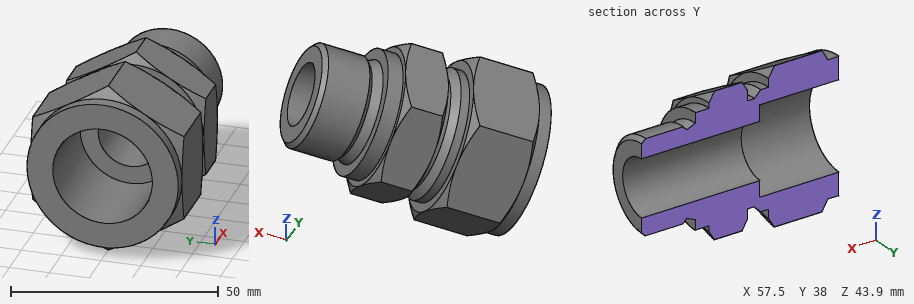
import cadquery as cq
import math


total_length = 57.5
nut_start = 3.15
nut_end = 20.6
ring_end = 22.8
neck_start = 24.65
body_hex_start = 26.55
body_hex_end = 37.9
flange_end = 41.85
groove_x = 44.3

ring_radius = 16.7
neck_radius = 14.8
flange_radius = 16.05
thread_radius = 13.3
thread_chamfer = 1.15
thread_root_radius = thread_radius - thread_chamfer
relief_radius = 13.15

nut_across_flats = 38.0
body_across_flats = 35.0
hex_sides = 6
hex_chamfer_angle = 30.0

tube_bore_diameter = 25.0
tube_bore_depth = 23.0
through_bore_diameter = 16.0


def revolve_about_x(outline):
    """Turn a closed (x, radius) outline about the X axis."""
    return cq.Workplane("XY").polyline(outline).close().revolve(360, (0, 0, 0), (1, 0, 0))


def rod(start, length, diameter):
    """Cylinder along X."""
    return cq.Workplane("YZ", origin=(start, 0, 0)).circle(diameter / 2).extrude(length)


def chamfered_hex(start, end, across_flats):
    """Hexagon along X, corners up and down, both ends coned down to the flats."""
    flat_radius = across_flats / 2
    corner_radius = flat_radius / math.cos(math.radians(180 / hex_sides))
    cone_length = (corner_radius - flat_radius) * math.tan(math.radians(hex_chamfer_angle))
    prism = (
        cq.Workplane("YZ", origin=(start, 0, 0))
        .transformed(rotate=(0, 0, 90))
        .polygon(hex_sides, 2 * corner_radius)
        .extrude(end - start)
    )
    envelope = revolve_about_x([
        (start, 0),
        (start, flat_radius),
        (start + cone_length, corner_radius),
        (end - cone_length, corner_radius),
        (end, flat_radius),
        (end, 0),
    ])
    return prism.intersect(envelope)


body = revolve_about_x([
    (nut_start, 0),
    (nut_start, ring_radius),
    (ring_end, ring_radius),
    (neck_start, neck_radius),
    (body_hex_start, neck_radius),
    (body_hex_start, flange_radius),
    (flange_end, flange_radius),
    (flange_end, relief_radius),
    (groove_x, thread_root_radius),
    (groove_x + thread_chamfer, thread_radius),
    (total_length - thread_chamfer, thread_radius),
    (total_length, thread_root_radius),
    (total_length, 0),
])

collar = rod(0, nut_start, nut_across_flats)
nut = chamfered_hex(nut_start, nut_end, nut_across_flats)
body_hex = chamfered_hex(body_hex_start, body_hex_end, body_across_flats)

tube_bore = rod(0, tube_bore_depth, tube_bore_diameter)
through_bore = rod(0, total_length, through_bore_diameter)

result = body.union(collar).union(nut).union(body_hex).cut(tube_bore).cut(through_bore)